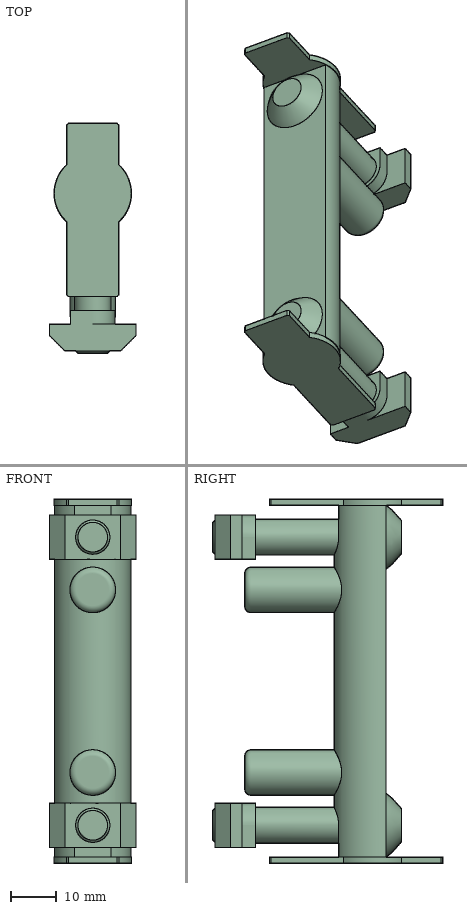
import cadquery as cq
total_height = 79.8
plate_thickness = 1.4
plate_width = 11.4
plate_back_y = 15.4
plate_front_y = -22.6
plate_corner_chamfer = 0.4
disc_radius = 8.5

body_radius = 8.4
body_flat_y = 3.0
body_height = total_height - 2 * plate_thickness

post_radius = 5.0
post_height = 20.0
post_front_y = -28.0
post_end_fillet = 1.4

screw_height = 31.55
shank_radius = 3.95
tip_front_y = -35.0
tip_radius = 3.75
tip_length = 0.5
screw_head_length = 3.4
screw_head_radius = 7.0
screw_head_top_radius = 3.6
screw_head_bulge = 0.2

nut_width = 19.0
nut_height = 9.75
nut_front_y = tip_front_y + tip_length
nut_back_y = -28.6
nut_chamfer = 3.4
neck_length = 3.0
neck_radius = nut_height / 2

relief_half_width = shank_radius
relief_floor_y = -(body_radius ** 2 - relief_half_width ** 2) ** 0.5


def pin_along_y(radius, back_y, front_y, z):
    """Round pin running toward -Y from back_y to front_y."""
    plane = cq.Workplane("XZ", origin=(0, back_y, z))
    return plane.circle(radius).extrude(back_y - front_y)


def box_between(x_min, x_max, y_min, y_max, z_min, z_max):
    box = cq.Workplane("XY").box(x_max - x_min, y_max - y_min, z_max - z_min, centered=False)
    return box.translate((x_min, y_min, z_min))


def make_body():
    body = cq.Workplane("XY").circle(body_radius).extrude(body_height)
    body = body.translate((0, 0, -body_height / 2))
    behind_flat = box_between(
        -body_radius, body_radius, body_flat_y, body_radius, -body_height / 2, body_height / 2
    )
    return body.cut(behind_flat)


def make_relief(side):
    """Round-bottomed flat in front of the body, open toward the end plate on the given side."""
    round_end = pin_along_y(relief_half_width, relief_floor_y, -body_radius, side * screw_height)
    z_low, z_high = sorted((side * screw_height, side * body_height / 2))
    channel = box_between(
        -relief_half_width, relief_half_width, -body_radius, relief_floor_y, z_low, z_high
    )
    return round_end.union(channel)


def make_plate(z_bottom):
    half_width = plate_width / 2
    strip = box_between(
        -half_width, half_width, plate_front_y, plate_back_y, z_bottom, z_bottom + plate_thickness
    )
    strip = strip.edges("|Z").chamfer(plate_corner_chamfer)
    disc = cq.Workplane("XY", origin=(0, 0, z_bottom)).circle(disc_radius).extrude(plate_thickness)
    return strip.union(disc)


def make_post(z):
    post = pin_along_y(post_radius, 0, post_front_y, z)
    return post.faces("<Y").edges().fillet(post_end_fillet)


def make_screw_head(z):
    """Flat-topped head on the back of the body, with a slightly bulging side."""
    profile = cq.Workplane("XY", origin=(0, body_flat_y, z)).lineTo(screw_head_radius, 0)
    profile = profile.sagittaArc((screw_head_top_radius, screw_head_length), -screw_head_bulge)
    profile = profile.lineTo(0, screw_head_length).close()
    return profile.revolve(360, (0, 0), (0, 1))


def make_screw(z):
    """Screw with its domed head and the tapered tip that stands out of the nut."""
    shank = pin_along_y(shank_radius, 0, nut_front_y, z)
    tip = pin_along_y(tip_radius, 0, tip_front_y, z)
    tip = tip.faces("<Y").edges().chamfer(tip_length)
    return shank.union(tip).union(make_screw_head(z))


def make_nut(z):
    """T-nut whose round neck has two opposite corners left square."""
    half_height = nut_height / 2
    bar = box_between(
        -nut_width / 2, nut_width / 2, nut_front_y, nut_back_y, z - half_height, z + half_height
    )
    bar = bar.faces("<Y").edges("|Z").chamfer(nut_chamfer)
    neck_back_y = nut_back_y + neck_length
    neck = pin_along_y(neck_radius, neck_back_y, nut_back_y, z)
    upper_corner = box_between(-neck_radius, 0, nut_back_y, neck_back_y, z, z + neck_radius)
    lower_corner = box_between(0, neck_radius, nut_back_y, neck_back_y, z - neck_radius, z)
    return bar.union(neck).union(upper_corner).union(lower_corner)


result = make_body()
for side in (1, -1):
    result = result.cut(make_relief(side))
for side in (1, -1):
    result = result.union(make_post(side * post_height))
    result = result.union(make_screw(side * screw_height))
    result = result.union(make_nut(side * screw_height))
for plate_bottom in (body_height / 2, -total_height / 2):
    result = result.union(make_plate(plate_bottom))